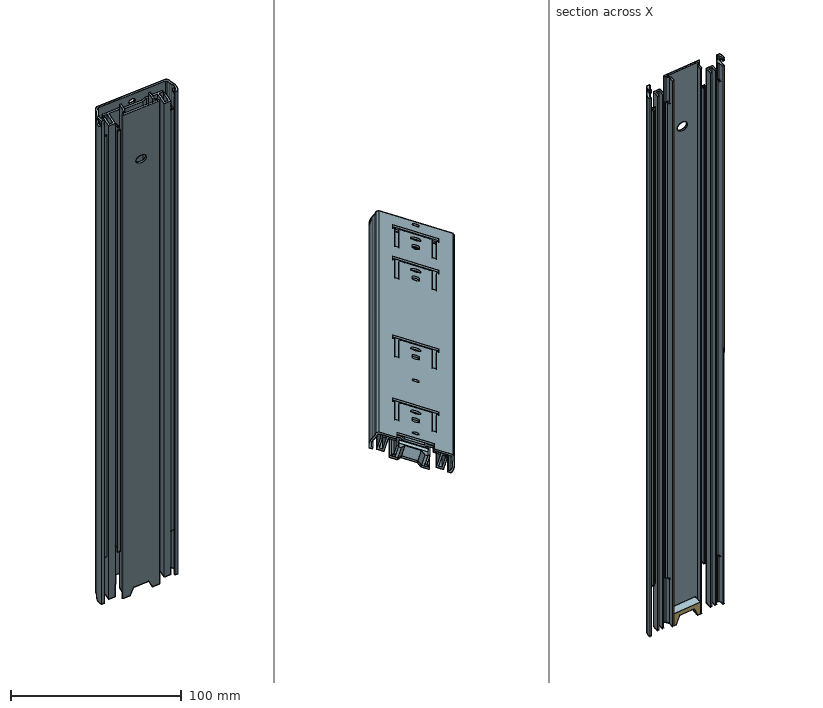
import cadquery as cq

length = 450.0
depth = 12.9
width = 51.89
sheet = 1.2

half_width = width / 2
outer_lip_x = 11.0
outer_lip_y = 23.1
outer_web_half = 22.7
outer_wall_start_x = 0.95
outer_wall_start_y = 24.0
outer_wall_end_x = 3.0
outer_wall_end_y = 24.5
outer_bulge_start_x = 4.6
outer_bulge_edge_y = 25.2

middle_web_x = 1.5
middle_web_recess = 1.0
middle_recess_half = 6.0
middle_recess_edge_half = 8.8
middle_inside_y = 16.0
middle_outside_y = 20.5
middle_fold_start_x = 3.6
middle_web_half = 19.8
middle_depth_x = 11.0
middle_top_z = 442.8
middle_bottom_z = 2.0

inner_half_width = 12.4
inner_flange_x = 4.6
inner_corner_radius = 0.5
inner_race_y = 10.2
inner_race_x = 9.6

clip_heights = (415.0, 351.0, 191.0, 63.0)
clip_hole_diameter = 6.2
clip_window_half = 14.2
clip_window_top = 14.8
clip_window_bottom = 8.4
clip_tongue_top = 9.4
clip_tongue_half = 10.2
clip_slot_outer_half = 12.8
clip_slot_bottom = -27.2
clip_oblong_offset = -16.1
clip_oblong_width = 4.4
clip_oblong_length = 8.4

web_hole_diameter = 4.2
web_hole_heights = (127.4, 20.4, 443.4)
flange_hole_diameter = 5.0
flange_hole_x = 8.0
flange_hole_z = 445.7
access_hole_diameter = 7.0
access_hole_z = 402.7

opening_bottom_z = 422.6
opening_top_z = 427.5
opening_half = 12.6
opening_relief_diameter = 4.0

notch_half = 11.4
notch_height = 10.6
mouth_height = 6.5
mouth_bottom_half = 7.3
mouth_top_half = 5.0
stop_clearance = 0.3
stop_ledge = 1.0
stop_bevel = 1.4

retainer_sheet = 0.8
retainer_leg = 1.2
outer_retainer_y = middle_outside_y + retainer_leg + retainer_sheet
outer_retainer_x = (4.4, 9.2)
inner_retainer_y = 11.6
inner_retainer_x = (3.4, 9.2)
retainer_bottom_z = 40.0
retainer_top_z = 432.0


def box(x_range, y_range, z_range):
    """Axis-parallel block between the given limits."""
    size = [high - low for low, high in (x_range, y_range, z_range)]
    corner = (x_range[0], y_range[0], z_range[0])
    return cq.Workplane("XY").box(*size, centered=False).translate(corner)


def mirrored_rail(half_profile, bottom, top):
    """Rail with the given half section on the +Y side and its mirror image on the -Y side."""
    half = half_profile.extrude(top - bottom).translate((0, 0, bottom))
    return half.union(half.mirror("XZ"))


def cylinder_along_x(diameter, z):
    """Cylinder on the symmetry plane across the full depth of the slide."""
    return cq.Workplane("YZ").center(0, z).circle(diameter / 2).extrude(depth)


def make_mouth():
    """Tapered opening through the stop and the inner rail at the bottom end."""
    corners = [
        (-mouth_bottom_half, 0),
        (mouth_bottom_half, 0),
        (mouth_top_half, mouth_height),
        (-mouth_top_half, mouth_height),
    ]
    return cq.Workplane("YZ").polyline(corners).close().extrude(depth)


def make_notch():
    """Rectangular notch in the outer and middle rails at the bottom end, which uncovers the stop."""
    return box((0, middle_depth_x), (-notch_half, notch_half), (0, notch_height))


def cut_clip(rail, height):
    """U-shaped slot freeing a tongue in the web, with the round and oblong screw holes in the tongue."""
    web_range = (0, sheet)
    window = box(
        web_range,
        (-clip_window_half, clip_window_half),
        (height + clip_window_bottom, height + clip_window_top),
    )
    tongue = box(
        web_range,
        (-clip_tongue_half, clip_tongue_half),
        (height + clip_slot_bottom, height + clip_tongue_top),
    )
    slots = box(
        web_range,
        (-clip_slot_outer_half, clip_slot_outer_half),
        (height + clip_slot_bottom, height + clip_window_bottom),
    )
    oblong = (
        cq.Workplane("YZ")
        .center(0, height + clip_oblong_offset)
        .slot2D(clip_oblong_length, clip_oblong_width, 90)
        .extrude(sheet)
    )
    hole = cq.Workplane("YZ").center(0, height).circle(clip_hole_diameter / 2).extrude(sheet)
    return rail.cut(window.union(slots).cut(tongue)).cut(oblong).cut(hole)


def make_outer_rail():
    """Channel with bent corners and bulged flanges that carry the outer ball races."""
    step_inner_shift = sheet / 2
    bulge_middle_x = (outer_bulge_start_x + outer_lip_x) / 2
    half_profile = (
        cq.Workplane("XY")
        .lineTo(0, outer_web_half)
        .lineTo(outer_wall_start_x, outer_wall_start_y)
        .lineTo(outer_wall_end_x, outer_wall_end_y)
        .lineTo(outer_bulge_start_x, outer_bulge_edge_y)
        .threePointArc((bulge_middle_x, half_width), (outer_lip_x, outer_bulge_edge_y))
        .lineTo(outer_lip_x, outer_lip_y)
        .lineTo(outer_lip_x - sheet, outer_lip_y)
        .lineTo(outer_lip_x - sheet, outer_bulge_edge_y - sheet)
        .threePointArc(
            (bulge_middle_x, half_width - sheet),
            (outer_bulge_start_x + step_inner_shift, outer_bulge_edge_y - sheet),
        )
        .lineTo(outer_wall_end_x + step_inner_shift, outer_wall_end_y - sheet)
        .lineTo(outer_wall_start_x + step_inner_shift, outer_wall_start_y - sheet)
        .lineTo(sheet, outer_web_half - step_inner_shift)
        .lineTo(sheet, 0)
        .close()
    )
    rail = mirrored_rail(half_profile, 0, length)
    for height in clip_heights:
        rail = cut_clip(rail, height)
    for height in web_hole_heights:
        hole = cq.Workplane("YZ").center(0, height).circle(web_hole_diameter / 2).extrude(sheet)
        rail = rail.cut(hole)
    flange_holes = (
        cq.Workplane("XZ")
        .center(flange_hole_x, flange_hole_z)
        .circle(flange_hole_diameter / 2)
        .extrude(half_width, both=True)
    )
    return rail.cut(flange_holes).cut(make_notch())


def make_middle_rail():
    """Web with a recessed centre and flanges folded back on themselves, carrying both ball races."""
    recess_x = middle_web_x + middle_web_recess
    half_profile = (
        cq.Workplane("XY")
        .moveTo(recess_x, 0)
        .lineTo(recess_x, middle_recess_half)
        .lineTo(middle_web_x, middle_recess_edge_half)
        .lineTo(middle_web_x, middle_web_half)
        .lineTo(middle_web_x + sheet, middle_web_half)
        .lineTo(middle_web_x + sheet, middle_inside_y + sheet)
        .lineTo(middle_depth_x - sheet, middle_inside_y + sheet)
        .lineTo(middle_depth_x - sheet, middle_outside_y - sheet)
        .lineTo(middle_fold_start_x, middle_outside_y - sheet)
        .lineTo(middle_fold_start_x, middle_outside_y)
        .lineTo(middle_depth_x, middle_outside_y)
        .lineTo(middle_depth_x, middle_inside_y)
        .lineTo(middle_web_x + sheet, middle_inside_y)
        .lineTo(middle_web_x + sheet, middle_recess_edge_half)
        .lineTo(recess_x + sheet, middle_recess_half)
        .lineTo(recess_x + sheet, 0)
        .close()
    )
    rail = mirrored_rail(half_profile, middle_bottom_z, middle_top_z)
    opening = box(
        (0, recess_x + sheet),
        (-opening_half, opening_half),
        (opening_bottom_z, opening_top_z),
    )
    relief = cylinder_along_x(opening_relief_diameter, opening_top_z)
    access_hole = cylinder_along_x(access_hole_diameter, access_hole_z)
    return rail.cut(opening).cut(relief).cut(access_hole).cut(make_notch())


def make_inner_rail():
    """Channel whose web closes the open side of the slide."""
    half_profile = (
        cq.Workplane("XY")
        .moveTo(depth, 0)
        .lineTo(depth, inner_half_width - inner_corner_radius)
        .radiusArc((depth - inner_corner_radius, inner_half_width), -inner_corner_radius)
        .lineTo(inner_race_x, inner_race_y)
        .lineTo(inner_flange_x, inner_race_y)
        .lineTo(inner_flange_x, inner_race_y - sheet)
        .lineTo(inner_race_x, inner_race_y - sheet)
        .lineTo(depth - sheet, inner_half_width - sheet)
        .lineTo(depth - sheet, 0)
        .close()
    )
    rail = mirrored_rail(half_profile, 0, length)
    return rail.cut(cylinder_along_x(access_hole_diameter, access_hole_z)).cut(make_mouth())


def make_stop():
    """Block between the inner rail flanges at the bottom end, with a bevelled ledge along its top."""
    half = inner_race_y - sheet
    front_x = middle_web_x + middle_web_recess + sheet
    top_z = notch_height - stop_clearance
    ledge_z = top_z - stop_ledge
    side_outline = [
        (front_x + stop_bevel, 0),
        (depth - sheet, 0),
        (depth - sheet, top_z),
        (front_x, top_z),
        (front_x, ledge_z),
        (front_x + stop_bevel, ledge_z - stop_bevel),
    ]
    block = cq.Workplane("XZ").polyline(side_outline).close().extrude(half, both=True)
    return block.cut(make_mouth())


def make_retainer(x_range, back_y, leg_direction):
    """Ball retainer strip on the +Y side, with a short leg along each long edge."""
    z_range = (retainer_bottom_z, retainer_top_z)
    back = (back_y, back_y + retainer_sheet)
    legs = tuple(sorted((back_y, back_y + leg_direction * (retainer_leg + retainer_sheet))))
    strip = box(x_range, back, z_range)
    for edge_x in (x_range[0], x_range[1] - retainer_sheet):
        strip = strip.union(box((edge_x, edge_x + retainer_sheet), legs, z_range))
    return strip


outer_rail = make_outer_rail()
middle_rail = make_middle_rail()
inner_rail = make_inner_rail()
stop = make_stop()
retainers = []
for x_limits, back_y, leg_direction in (
    (outer_retainer_x, outer_retainer_y, -1),
    (inner_retainer_x, inner_retainer_y, 1),
):
    retainer = make_retainer(x_limits, back_y, leg_direction)
    retainers += [retainer.val(), retainer.mirror("XZ").val()]

result = cq.Compound.makeCompound(
    [outer_rail.val(), middle_rail.val(), inner_rail.val(), stop.val(), *retainers]
)